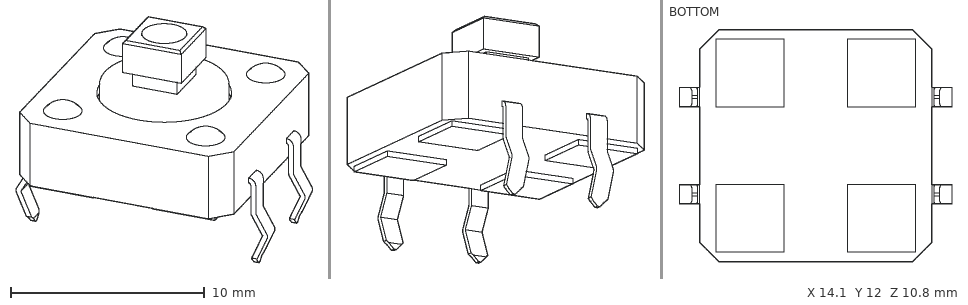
import cadquery as cq
import math


overall_height = 10.8

body_side = 12.0
body_height = 3.6
corner_chamfer = 1.0
recess_diameter = 6.95
recess_depth = 0.5

disc_diameter = 6.7
disc_rise = 0.7
disc_top = body_height + disc_rise
disc_edge_radius = 0.24
stem_side = 2.5
head_side = 3.3
head_height = 1.8
head_chamfer = 0.14
head_top = 7.0
head_bottom = head_top - head_height
bore_diameter = 2.33

dome_diameter = 2.0
dome_height = 0.51
dome_offset = 4.0

pad_side = 3.5
pad_height = 0.3
pad_offset_x = 3.4
pad_offset_y = 3.75

leg_reach = 7.05
leg_thickness = 0.28
leg_width = 1.0
leg_offset_y = 2.51
leg_embed = 0.42
leg_top = 1.18
leg_bottom = head_top - overall_height
shoulder_radius = 0.4
shank_inner_x = body_side / 2 + shoulder_radius - leg_thickness
elbow_inner_x = leg_reach - leg_thickness
elbow_z = -2.0
upper_slope_angle = 30.0
lower_slope_angle = 23.7
kink_radius = 0.17
tip_chamfer = 0.42


def box(side_x, side_y, bottom, top, centre=(0, 0)):
    """Upright block between two heights."""
    return (
        cq.Workplane("XY", origin=(centre[0], centre[1], bottom))
        .rect(side_x, side_y)
        .extrude(top - bottom)
    )


def make_housing():
    housing = box(body_side, body_side, 0, body_height).edges("|Z").chamfer(corner_chamfer)
    return housing.faces(">Z").workplane().hole(recess_diameter, recess_depth)


def make_button():
    recess_floor = body_height - recess_depth
    disc = (
        cq.Workplane("XY", origin=(0, 0, recess_floor))
        .circle(disc_diameter / 2)
        .extrude(disc_top - recess_floor)
        .faces(">Z")
        .edges()
        .fillet(disc_edge_radius)
    )
    stem = box(stem_side, stem_side, disc_top, head_bottom)
    head = box(head_side, head_side, head_bottom, head_top).faces(">Z").chamfer(head_chamfer)
    head = head.faces(">Z").workplane().hole(bore_diameter, head_height)
    return disc.union(stem).union(head)


def make_dome(x, y):
    """Spherical cap revolved about its own vertical axis."""
    base_radius = dome_diameter / 2
    sphere_radius = (base_radius**2 + dome_height**2) / (2 * dome_height)
    half_angle = math.asin(base_radius / sphere_radius) / 2
    middle = (
        sphere_radius * math.sin(half_angle),
        dome_height - sphere_radius * (1 - math.cos(half_angle)),
    )
    return (
        cq.Workplane("XZ", origin=(x, y, body_height))
        .lineTo(base_radius, 0)
        .threePointArc(middle, (0, dome_height))
        .close()
        .revolve(360, (0, 0), (0, 1))
    )


def offset_path(points, distance):
    """Shift an open path to its left by a distance, with mitred corners."""
    normals = []
    for (x0, z0), (x1, z1) in zip(points, points[1:]):
        length = math.hypot(x1 - x0, z1 - z0)
        normals.append(((z0 - z1) / length, (x1 - x0) / length))
    before = normals[:1] + normals
    after = normals + normals[-1:]
    shifted = []
    for (x, z), (ax, az), (bx, bz) in zip(points, before, after):
        reach = distance / (1 + ax * bx + az * bz)
        shifted.append((x + reach * (ax + bx), z + reach * (az + bz)))
    return shifted


def make_leg():
    """Leg on the +X side, centred on Y = 0."""
    elbow_run = elbow_inner_x - shank_inner_x
    upper_bend_z = elbow_z + elbow_run / math.tan(math.radians(upper_slope_angle))
    lower_bend_z = elbow_z - elbow_run / math.tan(math.radians(lower_slope_angle))
    shoulder_z = leg_top - leg_thickness
    inner = [
        (body_side / 2 - leg_embed, shoulder_z),
        (shank_inner_x, shoulder_z),
        (shank_inner_x, upper_bend_z),
        (elbow_inner_x, elbow_z),
        (shank_inner_x, lower_bend_z),
        (shank_inner_x, leg_bottom),
    ]
    outer = offset_path(inner, leg_thickness)
    leg = cq.Workplane("XZ").polyline(inner + outer[::-1]).close().extrude(leg_width / 2, both=True)
    leg = leg.faces("<Z").edges("|X").chamfer(tip_chamfer)

    bends = [
        (inner[1], shoulder_radius - leg_thickness),
        (outer[1], shoulder_radius),
        (outer[2], kink_radius),
        (outer[3], leg_thickness),
        (outer[4], kink_radius),
    ]
    for (x, z), radius in bends:
        leg = leg.edges("|Y").edges(cq.NearestToPointSelector((x, 0, z))).fillet(radius)
    return leg


result = make_housing().union(make_button())

leg_right = make_leg()
leg_left = leg_right.mirror("YZ")
for side_y in (-1, 1):
    for side_x, leg in ((-1, leg_left), (1, leg_right)):
        result = result.union(make_dome(side_x * dome_offset, side_y * dome_offset))
        pad_centre = (side_x * pad_offset_x, side_y * pad_offset_y)
        result = result.union(box(pad_side, pad_side, -pad_height, 0, pad_centre))
        result = result.union(leg.translate((0, side_y * leg_offset_y, 0)))